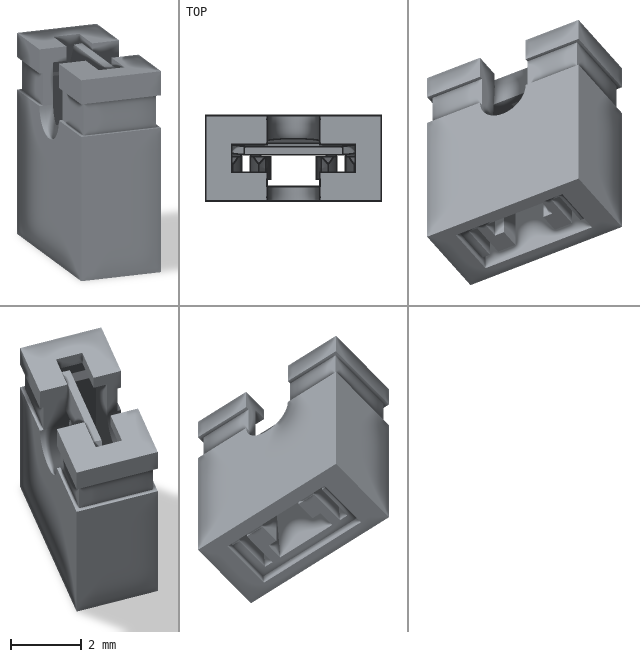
import cadquery as cq
import math

WIDTH = 5.0
DEPTH = 2.44
HEIGHT = 5.98
BASE_HEIGHT = 4.295
CAP_HEIGHT = 0.72
WAIST_INSET = 0.11
SLOT_RADIUS = 0.755

FRONT_WALL = 0.42
CAVITY_WIDTH = 3.515
WEB_WIDTH = 4.16
LIP_HEIGHT = 0.43
MOUTH_DEPTH = 0.79

LEAN = math.tan(math.radians(5))
SHEET_TOP = 5.81
SHEET_BACK_Y = 0.335
SHEET_THICKNESS = 0.24
SHEET_CLEARANCE = 0.025
SHEET_BOTTOM = 0.24
WEB_BOTTOM = 4.82
WEB_TOP_WIDTH = 2.785
CROSSBAR_TOP = 2.035

PIN_X = 1.36
PRONG_OFFSET = 0.345
TIP_OFFSET = 0.14
RIDGE_OFFSET = 0.37
SHOULDER_OFFSET = 0.56
FOOT_OFFSET = 0.705
ARC_MIDPOINT = math.sqrt(0.5)
RIDGE_Z = 3.35
SHOULDER_Z = 3.18
FOOT_Z = 1.795
TIP_Z = 2.69
CONTACT_FRONT_Y = -0.6
CONTACT_BACK_Y = 0.05
RIDGE_BACK_Y = -0.17
NECK_OFFSET = 0.42
NECK_TOP = 2.39
NECK_DROP = 0.085

CAVITY_FRONT_Y = -DEPTH / 2 + FRONT_WALL
LIP_BOTTOM = HEIGHT - LIP_HEIGHT


def sheet_back_y(z):
    """Y of the leaning rear face of the sheet at height z."""
    return SHEET_BACK_Y + (SHEET_TOP - z) * LEAN


def sheet_front_y(z):
    """Y of the leaning front face of the sheet at height z."""
    return sheet_back_y(z) - SHEET_THICKNESS


def block(width, depth, bottom, top):
    """Box centred on the Z axis between two heights."""
    height = top - bottom
    return cq.Workplane("XY").box(width, depth, height, (True, True, False)).translate((0, 0, bottom))


def extrude_along_x(points, x_start, x_end):
    """Prism of a closed (y, z) outline between two X positions."""
    return cq.Workplane("YZ", origin=(x_start, 0, 0)).polyline(points).close().extrude(x_end - x_start)


def cavity_slice(width, bottom, top):
    """Part of the cavity between two heights, with its sloping rear wall."""
    outline = [
        (CAVITY_FRONT_Y, bottom),
        (sheet_back_y(bottom) + SHEET_CLEARANCE, bottom),
        (sheet_back_y(top) + SHEET_CLEARANCE, top),
        (CAVITY_FRONT_Y, top),
    ]
    return extrude_along_x(outline, -width / 2, width / 2)


def make_housing():
    cap_bottom = HEIGHT - CAP_HEIGHT
    base = block(WIDTH, DEPTH, 0, BASE_HEIGHT)
    waist = block(WIDTH - 2 * WAIST_INSET, DEPTH - 2 * WAIST_INSET, BASE_HEIGHT, cap_bottom)
    cap = block(WIDTH, DEPTH, cap_bottom, HEIGHT)
    shell = base.union(waist).union(cap)

    cavity = cavity_slice(CAVITY_WIDTH, 0, LIP_BOTTOM)
    web_recess = cavity_slice(WEB_WIDTH, WEB_BOTTOM, LIP_BOTTOM)
    mouth = block(CAVITY_WIDTH, MOUTH_DEPTH, LIP_BOTTOM, HEIGHT)

    slot = (
        cq.Workplane("XZ", origin=(0, DEPTH / 2, 0))
        .moveTo(-SLOT_RADIUS, HEIGHT)
        .lineTo(-SLOT_RADIUS, BASE_HEIGHT)
        .threePointArc((0, BASE_HEIGHT - SLOT_RADIUS), (SLOT_RADIUS, BASE_HEIGHT))
        .lineTo(SLOT_RADIUS, HEIGHT)
        .close()
        .extrude(DEPTH)
    )
    return shell.cut(cavity).cut(web_recess).cut(mouth).cut(slot)


def make_sheet():
    """Leaning sheet: a web with sloping ends, two prongs and a crossbar around a window."""
    front_top_z = SHEET_TOP - SHEET_THICKNESS * LEAN
    side_outline = [
        (sheet_front_y(SHEET_BOTTOM), SHEET_BOTTOM),
        (sheet_back_y(SHEET_BOTTOM), SHEET_BOTTOM),
        (SHEET_BACK_Y, SHEET_TOP),
        (sheet_front_y(front_top_z), front_top_z),
    ]
    slab = extrude_along_x(side_outline, -WIDTH / 2, WIDTH / 2)

    web = (
        cq.Workplane("XZ")
        .moveTo(-WEB_WIDTH / 2, WEB_BOTTOM)
        .lineTo(WEB_WIDTH / 2, WEB_BOTTOM)
        .lineTo(WEB_TOP_WIDTH / 2, SHEET_TOP)
        .lineTo(-WEB_TOP_WIDTH / 2, SHEET_TOP)
        .close()
        .extrude(DEPTH / 2, both=True)
    )
    legs = block(CAVITY_WIDTH, DEPTH, SHEET_BOTTOM, WEB_BOTTOM)
    window_width = 2 * (PIN_X - PRONG_OFFSET)
    window = block(window_width, DEPTH, CROSSBAR_TOP, WEB_BOTTOM)
    return slab.intersect(web.union(legs).cut(window))


def make_contact(pin_x, side):
    """Spring contact on one side of a pin axis, with the neck that joins it to the sheet."""
    def x_at(offset):
        return pin_x + side * offset

    arc_z = TIP_Z + (RIDGE_Z - TIP_Z) * ARC_MIDPOINT
    arc_offset = RIDGE_OFFSET - (RIDGE_OFFSET - TIP_OFFSET) * ARC_MIDPOINT
    contact = (
        cq.Workplane("XZ", origin=(0, CONTACT_BACK_Y, 0))
        .moveTo(x_at(TIP_OFFSET), SHEET_BOTTOM)
        .lineTo(x_at(TIP_OFFSET), TIP_Z)
        .threePointArc((x_at(arc_offset), arc_z), (x_at(RIDGE_OFFSET), RIDGE_Z))
        .lineTo(x_at(SHOULDER_OFFSET), SHOULDER_Z)
        .lineTo(x_at(FOOT_OFFSET), FOOT_Z)
        .lineTo(x_at(FOOT_OFFSET), SHEET_BOTTOM)
        .close()
        .extrude(CONTACT_BACK_Y - CONTACT_FRONT_Y)
    )

    bevel_outline = [(CONTACT_BACK_Y, SHOULDER_Z), (CONTACT_BACK_Y, RIDGE_Z), (RIDGE_BACK_Y, RIDGE_Z)]
    bevel = extrude_along_x(bevel_outline, pin_x - FOOT_OFFSET, pin_x + FOOT_OFFSET)
    contact = contact.cut(bevel)

    neck_outline = [
        (CONTACT_BACK_Y, SHEET_BOTTOM),
        (sheet_front_y(SHEET_BOTTOM), SHEET_BOTTOM),
        (sheet_front_y(NECK_TOP), NECK_TOP),
        (CONTACT_BACK_Y, NECK_TOP - NECK_DROP),
    ]
    neck_sides = sorted((x_at(TIP_OFFSET), x_at(NECK_OFFSET)))
    neck = extrude_along_x(neck_outline, *neck_sides)

    return contact.union(neck).intersect(block(CAVITY_WIDTH, DEPTH, SHEET_BOTTOM, RIDGE_Z))


def make_clip():
    clip = make_sheet()
    for pin_x in (-PIN_X, PIN_X):
        for side in (-1, 1):
            clip = clip.union(make_contact(pin_x, side))
    return clip


housing = make_housing()
clip = make_clip()

result = cq.Compound.makeCompound([housing.solids().val(), clip.solids().val()])